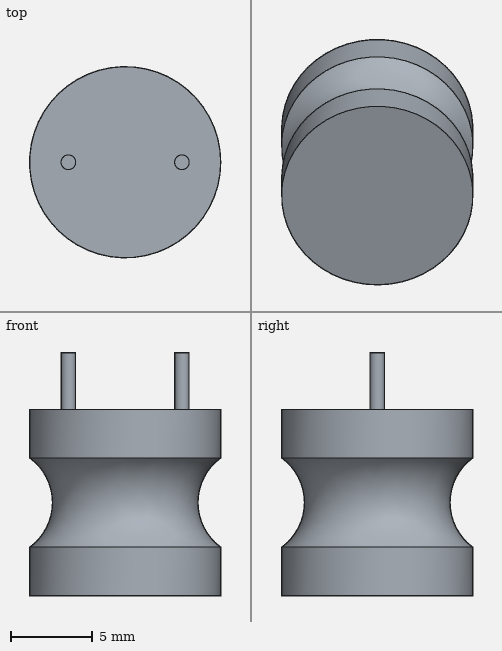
import cadquery as cq

body_diameter = 11.8
waist_diameter = 9.0
flange_height = 3.0
groove_height = 5.5

overall_height = 15.0
pin_diameter = 0.9
pin_spacing = 7.0

body_radius = body_diameter / 2
waist_radius = waist_diameter / 2
groove_top = flange_height + groove_height
body_height = groove_top + flange_height
pin_height = overall_height - body_height


def make_body():
    """Revolve the half section of the spool about the Z axis."""
    section = (
        cq.Workplane("XZ")
        .lineTo(body_radius, 0)
        .lineTo(body_radius, flange_height)
        .threePointArc((waist_radius, body_height / 2), (body_radius, groove_top))
        .lineTo(body_radius, body_height)
        .lineTo(0, body_height)
        .close()
    )
    return section.revolve(360, (0, 0, 0), (0, 1, 0))


def add_pins(body):
    """Stand the pins on the top face, spaced symmetrically along X."""
    pins = (
        cq.Workplane("XY")
        .workplane(offset=body_height)
        .pushPoints([(-pin_spacing / 2, 0), (pin_spacing / 2, 0)])
        .circle(pin_diameter / 2)
        .extrude(pin_height)
    )
    return body.union(pins)


result = add_pins(make_body())